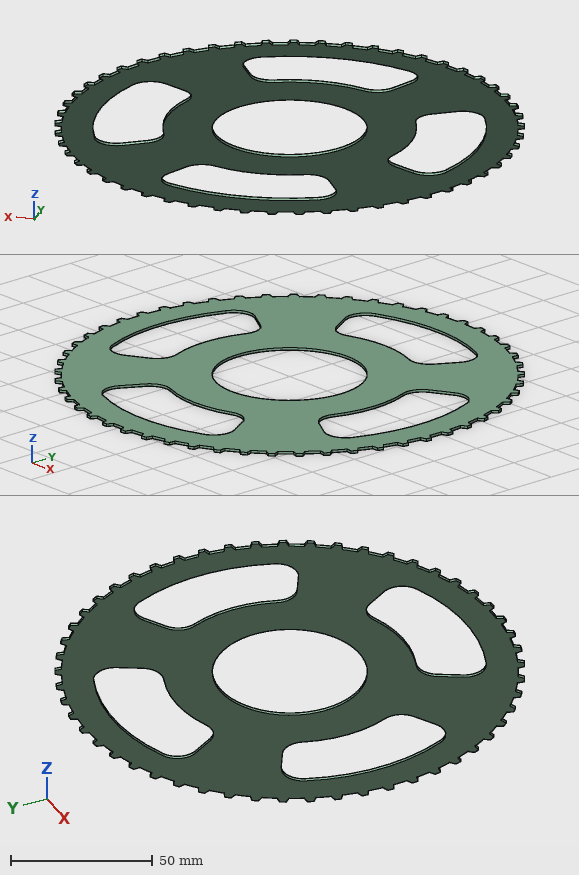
import cadquery as cq
import math

thickness = 1.0
bore_diameter = 55.0

tooth_count = 53
tip_radius = 83.3
root_radius = 81.0
tooth_tip_width = 2.3
tooth_base_width = 4.2

window_count = 4
window_inner_radius = 45.0
window_outer_radius = 69.8
window_span = 60.0
window_corner_radius = 7.8


def polar_point(radius, angle):
    """Point at a radius and an angle in degrees, measured from +X."""
    return (radius * math.cos(math.radians(angle)), radius * math.sin(math.radians(angle)))


def half_angle(width, radius):
    """Half of the angle in degrees that a chord of this width covers."""
    return math.degrees(math.asin(width / 2 / radius))


def toothed_disc():
    """Disc with straight-flanked teeth, one of them centred on +Y."""
    pitch = 360 / tooth_count
    tip_half = half_angle(tooth_tip_width, tip_radius)
    base_half = half_angle(tooth_base_width, root_radius)

    outline = cq.Workplane("XY").moveTo(*polar_point(root_radius, 90 - base_half))
    for i in range(tooth_count):
        center = 90 + i * pitch
        outline = (
            outline.lineTo(*polar_point(tip_radius, center - tip_half))
            .threePointArc(polar_point(tip_radius, center), polar_point(tip_radius, center + tip_half))
            .lineTo(*polar_point(root_radius, center + base_half))
            .threePointArc(
                polar_point(root_radius, center + pitch / 2),
                polar_point(root_radius, center + pitch - base_half),
            )
        )
    return outline.close().extrude(thickness)


def window(center):
    """Ring sector with radial sides and rounded corners, centred on an angle."""
    start = center - window_span / 2
    end = center + window_span / 2
    return (
        cq.Workplane("XY")
        .moveTo(*polar_point(window_inner_radius, start))
        .lineTo(*polar_point(window_outer_radius, start))
        .threePointArc(polar_point(window_outer_radius, center), polar_point(window_outer_radius, end))
        .lineTo(*polar_point(window_inner_radius, end))
        .threePointArc(polar_point(window_inner_radius, center), polar_point(window_inner_radius, start))
        .close()
        .extrude(thickness)
        .edges("|Z")
        .fillet(window_corner_radius)
    )


bore = cq.Workplane("XY").circle(bore_diameter / 2).extrude(thickness)

result = toothed_disc().cut(bore)
for i in range(window_count):
    result = result.cut(window(i * 360 / window_count))